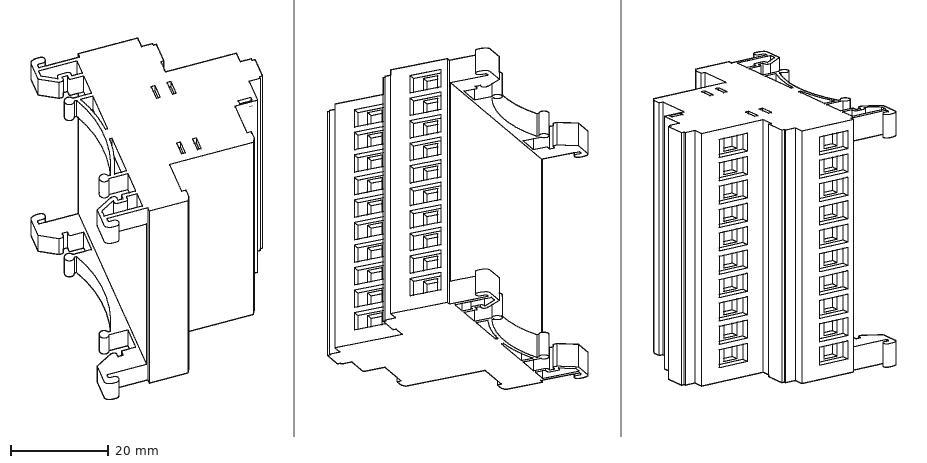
import cadquery as cq
import math

width = 48.1
depth = 44.0
height = 55.0

body_half = 22.45
tier_run = 10.5
tier_drop = 17.9
body_back_y = 10.05
tower_half = body_half - tier_run
left_shelf_y = 40.9
right_shelf_y = 35.95
tower_right_x = 1.5

ridge_inset = 2.4
ridge_width = 5.6
ridge_shoulder_y = 43.35
cap_step = 0.45

lip_width = 2.85
lip_rise = 0.95
lip_slope_run = 1.0
lip_slope_drop = 0.55

base_half = 21.5
base_back_y = 9.8
foot_plate_y = 9.2
foot_height = 5.1
wall = 0.8
web = 0.8

leg_inner_x = 16.4
notch_depth = 1.15
notch_top_y = 6.05
notch_bottom_y = 4.9
catch_y = 3.8
catch_round = 0.55
catch_wall = 0.95
edge_round = 0.3
sole_inner_x = 18.65
sole_outer_x = 23.55
sole_round = 0.8
hook_width = 1.65
hook_top_y = 3.15
hook_bend_y = 1.15
hook_bend_round = 2.1
hook_floor_y = 1.15

post_x = 11.05
bead_x = 11.0
bead_radius = 1.05
bead_y = 4.2
arch_crown_y = 7.9
arch_end_y = 5.6
arch_rib_half = 1.4

terminal_count = 10
first_terminal_z = 5.1
last_terminal_z = 50.9
terminal_pitch = (last_terminal_z - first_terminal_z) / (terminal_count - 1)
window_y = 32.95
window_length = 7.05
window_height = 3.9
window_depth = 1.65
wire_hole_y = 32.55
wire_hole_length = 3.25
wire_hole_height = 3.0
wire_hole_depth = 1.65

slot_depth = 1.65
slot_width = 0.8
slot_rows = (25.25, 21.8)
left_slot_x = -7.5
left_slot_length = 3.3
right_slot_x = 8.45
right_slot_length = 3.0
side_slot_x = 0.75
side_slot_y = 38.45
side_slot_width = 0.9
side_slot_length = 2.75


def box(x_range, y_range, z_range):
    """Block between pairs of limits on each axis."""
    sizes = [high - low for low, high in (x_range, y_range, z_range)]
    corner = (x_range[0], y_range[0], z_range[0])
    return cq.Workplane("XY").box(*sizes, centered=False).translate(corner)


def make_body():
    """Staircase housing with a terminal ridge or a sloped lip on every step."""
    ridge_left = ridge_inset - tower_half
    ridge_right = ridge_left + ridge_width
    low_ridge_left = ridge_left - tier_run
    low_ridge_right = ridge_right - tier_run
    low_shoulder_y = ridge_shoulder_y - tier_drop
    profile = (
        cq.Workplane("XY")
        .moveTo(-body_half, body_back_y)
        .lineTo(-body_half, left_shelf_y - tier_drop)
        .lineTo(low_ridge_left, left_shelf_y - tier_drop)
        .lineTo(low_ridge_left, low_shoulder_y)
        .lineTo(low_ridge_left + cap_step, low_shoulder_y)
        .lineTo(low_ridge_left + cap_step, depth - tier_drop)
        .lineTo(low_ridge_right - cap_step, depth - tier_drop)
        .lineTo(low_ridge_right - cap_step, low_shoulder_y)
        .lineTo(-tower_half, low_shoulder_y)
        .lineTo(-tower_half, left_shelf_y)
        .lineTo(ridge_left, left_shelf_y)
        .lineTo(ridge_left, ridge_shoulder_y)
        .lineTo(ridge_left + cap_step, ridge_shoulder_y)
        .lineTo(ridge_left + cap_step, depth)
        .lineTo(ridge_right - cap_step, depth)
        .lineTo(ridge_right - cap_step, ridge_shoulder_y)
        .lineTo(ridge_right, ridge_shoulder_y)
        .lineTo(ridge_right, left_shelf_y)
        .lineTo(tower_right_x, left_shelf_y)
    )
    inner_x = tower_right_x
    for edge_x, shelf_y in (
        (tower_half, right_shelf_y),
        (body_half, right_shelf_y - tier_drop),
    ):
        lip_top_y = shelf_y + lip_rise
        profile = (
            profile.lineTo(inner_x, shelf_y)
            .lineTo(edge_x - lip_width, shelf_y)
            .lineTo(edge_x - lip_width, lip_top_y)
            .lineTo(edge_x - lip_slope_run, lip_top_y)
            .lineTo(edge_x, lip_top_y - lip_slope_drop)
        )
        inner_x = edge_x
    profile = profile.lineTo(body_half, body_back_y).close()
    base = box((-base_half, base_half), (base_back_y, body_back_y), (0, height))
    return profile.extrude(height).union(base)


def make_leg():
    """Left latch leg with its outer hook and inner notch."""
    hook_outer_x = -width / 2
    hook_inner_x = hook_outer_x + hook_width
    hook_radius = hook_width / 2
    notch_x = -leg_inner_x - notch_depth
    leg = (
        cq.Workplane("XY")
        .moveTo(-base_half, body_back_y)
        .lineTo(-base_half, hook_floor_y)
        .lineTo(hook_inner_x + edge_round, hook_floor_y)
        .radiusArc((hook_inner_x, hook_floor_y + edge_round), edge_round)
        .lineTo(hook_inner_x, hook_top_y - hook_radius)
        .threePointArc(
            (hook_outer_x + hook_radius, hook_top_y),
            (hook_outer_x, hook_top_y - hook_radius),
        )
        .lineTo(hook_outer_x, hook_bend_y)
        .lineTo(-sole_outer_x, 0)
        .lineTo(-sole_inner_x, 0)
        .lineTo(-leg_inner_x, catch_y)
        .lineTo(-leg_inner_x, notch_bottom_y - catch_round)
        .radiusArc((-leg_inner_x - catch_round, notch_bottom_y), -catch_round)
        .lineTo(notch_x, notch_bottom_y)
        .lineTo(notch_x, notch_top_y)
        .lineTo(-leg_inner_x - edge_round, notch_top_y)
        .radiusArc((-leg_inner_x, notch_top_y + edge_round), -edge_round)
        .lineTo(-leg_inner_x, body_back_y)
        .close()
        .extrude(foot_height)
    )
    bend = cq.selectors.NearestToPointSelector((hook_outer_x, hook_bend_y, foot_height / 2))
    sole_corner = cq.selectors.NearestToPointSelector((-sole_outer_x, 0, foot_height / 2))
    return leg.edges(sole_corner).fillet(sole_round).edges(bend).fillet(hook_bend_round)


def make_leg_pocket():
    """Hollow of the left leg, leaving thin walls inside its outline."""
    slope_run = sole_inner_x - leg_inner_x
    slope_shift = catch_wall * math.hypot(slope_run, catch_y) / catch_y
    pocket_right_x = -leg_inner_x - wall
    notch_wall_x = -leg_inner_x - notch_depth - wall
    slope_top_y = notch_bottom_y - catch_wall

    def slope_x(y):
        return -sole_inner_x - slope_shift + slope_run * y / catch_y

    return (
        cq.Workplane("XY")
        .moveTo(-base_half + wall, foot_plate_y)
        .lineTo(-base_half + wall, wall)
        .lineTo(slope_x(wall), wall)
        .lineTo(slope_x(slope_top_y), slope_top_y)
        .lineTo(notch_wall_x + catch_round, slope_top_y)
        .radiusArc((notch_wall_x, slope_top_y + catch_round), catch_round)
        .lineTo(notch_wall_x, notch_top_y + wall - catch_round)
        .radiusArc((notch_wall_x + catch_round, notch_top_y + wall), catch_round)
        .lineTo(pocket_right_x, notch_top_y + wall)
        .lineTo(pocket_right_x, foot_plate_y)
        .close()
        .extrude(foot_height - web)
    )


def make_foot():
    """Foot plate of the lower end, with legs, bead posts, arch and outward-open pockets."""
    plate = box((-base_half, base_half), (foot_plate_y, body_back_y), (0, foot_height))

    post_inner_x = -post_x + wall / 2
    post = box(
        (-post_x - wall / 2, post_inner_x), (bead_y, body_back_y), (0, foot_height)
    )
    bead = cq.Workplane("XY").center(-bead_x, bead_y).circle(bead_radius).extrude(foot_height)
    half = make_leg().union(post).union(bead)

    arch_rise = arch_crown_y - arch_end_y
    arch_radius = (post_inner_x**2 + arch_rise**2) / (2 * arch_rise)
    arch_centre_y = arch_crown_y - arch_radius

    def disc(radius):
        return cq.Workplane("XY").center(0, arch_centre_y).circle(radius).extrude(foot_height)

    strap = box((post_inner_x, 0), (arch_end_y, body_back_y), (0, foot_height))
    half = half.union(strap.cut(disc(arch_radius)))

    arch_pocket = box(
        (post_inner_x, -arch_rib_half), (arch_end_y, foot_plate_y), (0, foot_height - web)
    )
    half = half.cut(make_leg_pocket()).cut(arch_pocket.cut(disc(arch_radius + wall)))
    return plate.union(half).union(half.mirror("YZ"))


def make_terminals():
    """Recesses of both terminal rows: a shallow window with a smaller wire hole in its floor."""
    recesses = cq.Workplane("XY")
    for face_x, drop in ((-tower_half, 0), (-body_half, tier_drop)):
        centres = [
            (0, first_terminal_z + index * terminal_pitch)
            for index in range(terminal_count)
        ]
        face = cq.Workplane("YZ", origin=(face_x, 0, 0)).pushPoints(centres)
        windows = face.rect(window_length, window_height).extrude(window_depth)
        wire_holes = face.rect(wire_hole_length, wire_hole_height).extrude(
            window_depth + wire_hole_depth
        )
        recesses = recesses.add(windows.translate((0, window_y - drop, 0)))
        recesses = recesses.add(wire_holes.translate((0, wire_hole_y - drop, 0)))
    return recesses.combine()


def make_slots():
    """Blind slots in the top end face."""
    top = cq.Workplane("XY", origin=(0, 0, height))
    slots = top.center(side_slot_x, side_slot_y).rect(side_slot_width, side_slot_length)
    slots = slots.extrude(-slot_depth)
    for x, length in ((left_slot_x, left_slot_length), (right_slot_x, right_slot_length)):
        row_points = [(x, y) for y in slot_rows]
        slots = slots.union(top.pushPoints(row_points).rect(length, slot_width).extrude(-slot_depth))
    return slots


lower_foot = make_foot()
upper_foot = lower_foot.mirror("XY").translate((0, 0, height))

result = make_body().union(lower_foot).union(upper_foot)
result = result.cut(make_terminals()).cut(make_slots())